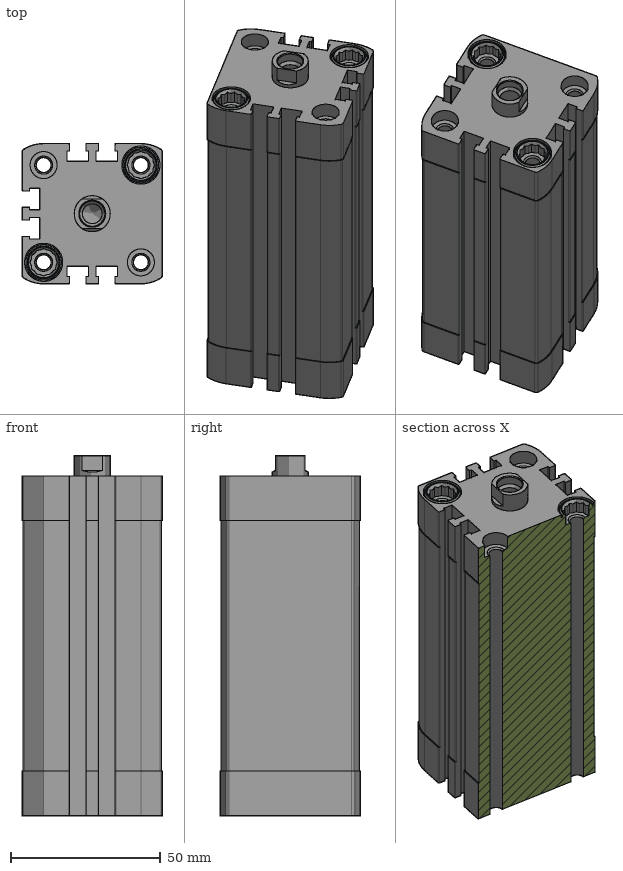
import cadquery as cq
import math

width = 47.0
total_length = 120.6
rod_protrusion = 6.8
housing_length = total_length - rod_protrusion

cap_length = 15.0
barrel_inset = 0.3
corner_hole_offset = 16.3
side_arc_radius = 12.5
cap_corner_fillet = 1.2
barrel_corner_fillet = 1.0

slot_centre = 4.88
slot_depth = 5.9
slot_width = 7.1
slot_mouth_width = 5.4
slot_lip = 2.5
mouth_fillet = 0.3

through_diameter = 5.0
cone_diameter = 6.0
counterbore_diameter = 9.0
recess_depth = 5.0
recess_floor = housing_length - recess_depth

collar_gap_diameter = 12.8
collar_gap_depth = 1.2
collar_diameter = 11.9
collar_chamfer = 0.5
mouth_diameter = 10.3
mouth_depth = 1.2
tooth_tip_diameter = 8.6
tooth_root_diameter = 9.2
tooth_count = 12

rod_diameter = 12.0
rod_insertion = 24.1
flat_distance = 10.0
flat_length = 5.0
flat_ramp_angle = 30.0
rod_bore_diameter = 8.5
rod_bore_rim_diameter = 9.0
rod_bore_depth = 3.1
rod_thread_diameter = 6.6
rod_thread_depth = 14.5
drill_point_angle = 118.0


def outline(fillet_radius, inset, base_z, length):
    """Square prism whose Y faces fall away in arcs to filleted corners, moved in by `inset` all round."""
    half = width / 2 - inset
    radius = side_arc_radius - inset
    arc_centre_y = half - radius
    reach = half - corner_hole_offset
    corner_y = arc_centre_y + math.sqrt(radius**2 - reach**2)
    half_sweep = math.asin(reach / radius) / 2
    mid_x = corner_hole_offset + radius * math.sin(half_sweep)
    mid_y = arc_centre_y + radius * math.cos(half_sweep)
    prism = (
        cq.Workplane("XY", origin=(0, 0, base_z))
        .moveTo(-corner_hole_offset, half)
        .lineTo(corner_hole_offset, half)
        .threePointArc((mid_x, mid_y), (half, corner_y))
        .lineTo(half, -corner_y)
        .threePointArc((mid_x, -mid_y), (corner_hole_offset, -half))
        .lineTo(-corner_hole_offset, -half)
        .threePointArc((-mid_x, -mid_y), (-half, -corner_y))
        .lineTo(-half, corner_y)
        .threePointArc((-mid_x, mid_y), (-corner_hole_offset, half))
        .close()
        .extrude(length)
    )
    return prism.edges("|Z").edges("<X or >X").fillet(fillet_radius)


def t_slot(centre_x, inset, base_z, length):
    """Cutter for one T-slot in a -Y face moved in by `inset`; its mouth edges are rounded."""
    face_y = inset - width / 2
    lip_y = slot_lip - width / 2
    floor_y = slot_depth - width / 2
    half_mouth = slot_mouth_width / 2
    half_slot = slot_width / 2
    arc_mid = mouth_fillet * (1 - math.sqrt(0.5))
    return (
        cq.Workplane("XY", origin=(centre_x, 0, base_z))
        .moveTo(-half_mouth - mouth_fillet, face_y)
        .threePointArc((-half_mouth - arc_mid, face_y + arc_mid), (-half_mouth, face_y + mouth_fillet))
        .lineTo(-half_mouth, lip_y)
        .lineTo(-half_slot, lip_y)
        .lineTo(-half_slot, floor_y)
        .lineTo(half_slot, floor_y)
        .lineTo(half_slot, lip_y)
        .lineTo(half_mouth, lip_y)
        .lineTo(half_mouth, face_y + mouth_fillet)
        .threePointArc((half_mouth + arc_mid, face_y + arc_mid), (half_mouth + mouth_fillet, face_y))
        .close()
        .extrude(length)
    )


def slotted_section(fillet_radius, inset, base_z, length):
    """Length of profile with a pair of T-slots in its -Y, +Y and -X sides."""
    section = outline(fillet_radius, inset, base_z, length)
    for turn in (0, 180, -90):
        for centre_x in (-slot_centre, slot_centre):
            slot = t_slot(centre_x, inset, base_z, length)
            section = section.cut(slot.rotate((0, 0, 0), (0, 0, 1), turn))
    return section


def turned(profile):
    """Solid of revolution about Z of a closed profile of (radius, z) points."""
    return cq.Workplane("XZ").polyline(profile).close().revolve(360, (0, 0), (0, 1))


def through_hole():
    """Through hole that widens by a cone where it meets the floor of the head recess."""
    cone_depth = (cone_diameter - through_diameter) / 2
    return turned([
        (0, 0),
        (through_diameter / 2, 0),
        (through_diameter / 2, recess_floor - cone_depth),
        (cone_diameter / 2, recess_floor),
        (0, recess_floor),
    ])


def counterbore():
    return (
        cq.Workplane("XY", origin=(0, 0, recess_floor))
        .circle(counterbore_diameter / 2)
        .extrude(recess_depth)
    )


def collar_gap():
    """Ring-shaped gap that leaves a flush collar with a chamfered outer edge."""
    gap_floor = housing_length - collar_gap_depth
    gap_radius = collar_gap_diameter / 2
    collar_radius = collar_diameter / 2
    return turned([
        (collar_radius, gap_floor),
        (gap_radius, gap_floor),
        (gap_radius, housing_length),
        (collar_radius - collar_chamfer, housing_length),
        (collar_radius, housing_length - collar_chamfer),
    ])


def toothed_bore():
    """Star-shaped bore with a flat floor and a conical mouth."""
    tip_radius = tooth_tip_diameter / 2
    root_radius = tooth_root_diameter / 2
    star_points = []
    for i in range(2 * tooth_count):
        radius = root_radius if i % 2 == 0 else tip_radius
        angle = math.pi * i / tooth_count
        star_points.append((radius * math.cos(angle), radius * math.sin(angle)))
    star = (
        cq.Workplane("XY", origin=(0, 0, recess_floor))
        .polyline(star_points)
        .close()
        .extrude(recess_depth)
    )
    mouth = turned([
        (0, housing_length - mouth_depth),
        (tip_radius, housing_length - mouth_depth),
        (mouth_diameter / 2, housing_length),
        (0, housing_length),
    ])
    return star.union(mouth)


def build_housing():
    barrel_length = housing_length - 2 * cap_length
    body = slotted_section(barrel_corner_fillet, barrel_inset, cap_length, barrel_length)
    for base_z in (0, housing_length - cap_length):
        body = body.union(slotted_section(cap_corner_fillet, 0, base_z, cap_length))
    for side_x in (-1, 1):
        for side_y in (-1, 1):
            place = (side_x * corner_hole_offset, side_y * corner_hole_offset, 0)
            has_collar = side_x == side_y
            cutters = [through_hole()]
            cutters += [collar_gap(), toothed_bore()] if has_collar else [counterbore()]
            for cutter in cutters:
                body = body.cut(cutter.translate(place))
    rod_recess = (
        cq.Workplane("XY", origin=(0, 0, housing_length - rod_insertion))
        .circle(rod_diameter / 2)
        .extrude(rod_insertion)
    )
    return body.cut(rod_recess)


def wrench_flat(side):
    """Cutter for one flat on the rod end; its lower end ramps out to the rod surface."""
    flat_y = flat_distance / 2
    outer_y = rod_diameter / 2
    ramp_top = total_length - flat_length
    ramp_bottom = ramp_top - (outer_y - flat_y) * math.tan(math.radians(flat_ramp_angle))
    return (
        cq.Workplane("YZ")
        .polyline([
            (side * flat_y, total_length),
            (side * flat_y, ramp_top),
            (side * outer_y, ramp_bottom),
            (side * outer_y, total_length),
        ])
        .close()
        .extrude(rod_diameter / 2, both=True)
    )


def rod_socket():
    """Chamfered bore that narrows by a cone to the thread hole and ends in a drill point."""
    bore_radius = rod_bore_diameter / 2
    thread_radius = rod_thread_diameter / 2
    rim_radius = rod_bore_rim_diameter / 2
    bore_floor = total_length - rod_bore_depth
    thread_end = total_length - rod_thread_depth
    point_depth = thread_radius / math.tan(math.radians(drill_point_angle / 2))
    return turned([
        (0, thread_end - point_depth),
        (thread_radius, thread_end),
        (thread_radius, bore_floor - (bore_radius - thread_radius)),
        (bore_radius, bore_floor),
        (bore_radius, total_length - (rim_radius - bore_radius)),
        (rim_radius, total_length),
        (0, total_length),
    ])


def build_rod():
    shaft = (
        cq.Workplane("XY", origin=(0, 0, housing_length - rod_insertion))
        .circle(rod_diameter / 2)
        .extrude(rod_insertion + rod_protrusion)
    )
    for side in (-1, 1):
        shaft = shaft.cut(wrench_flat(side))
    return shaft.cut(rod_socket())


housing = build_housing()
rod = build_rod()
result = cq.Compound.makeCompound([housing.val(), rod.val()])